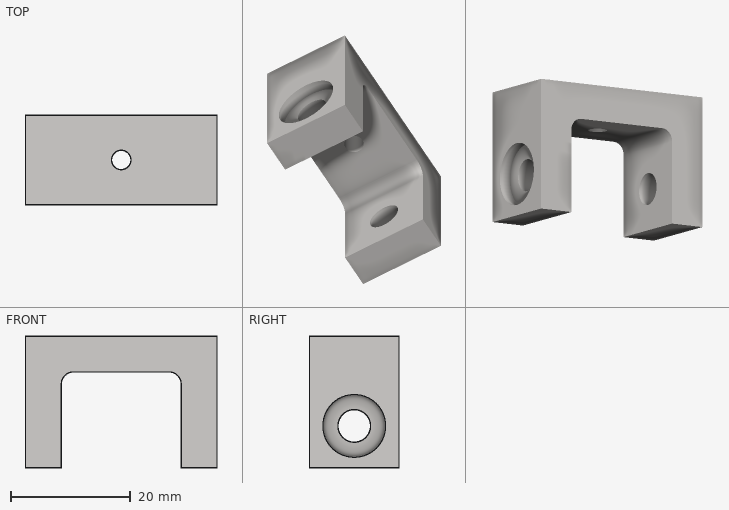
import cadquery as cq

length = 32.0
depth = 15.0
height = 22.0

wall = 6.0
channel_radius = 2.0

top_hole_diameter = 3.2
axle_hole_diameter = 5.4
counterbore_diameter = 10.5
counterbore_depth = 2.0
axle_height = 7.0


def bracket_body():
    """Inverted U, centred on X and Y with its feet at Z = 0."""
    block = cq.Workplane("XY").box(length, depth, height, centered=(True, True, False))
    channel = (
        cq.Workplane("XY")
        .box(length - 2 * wall, depth, height - wall, centered=(True, True, False))
        .edges("|Y and >Z")
        .fillet(channel_radius)
    )
    return block.cut(channel)


def cylinder_along_x(diameter, start_x, span):
    """Cylinder on the axle line, running from start_x toward +X."""
    return (
        cq.Workplane("YZ", origin=(start_x, 0, axle_height))
        .circle(diameter / 2)
        .extrude(span)
    )


top_hole = cq.Workplane("XY").circle(top_hole_diameter / 2).extrude(height)

axle_hole = cylinder_along_x(axle_hole_diameter, -length / 2, length)
counterbore = cylinder_along_x(counterbore_diameter, -length / 2, counterbore_depth)
opposite_counterbore = counterbore.mirror("YZ")

result = bracket_body().cut(top_hole).cut(axle_hole).cut(counterbore).cut(opposite_counterbore)